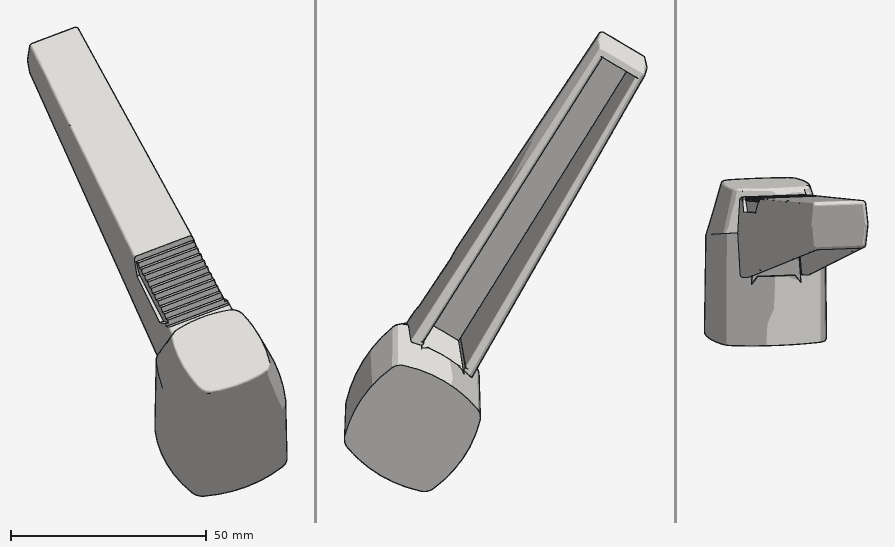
import math

import cadquery as cq

HUB_WIDTH = 30.68
SIDE_RADIUS = 33.4
CORNER_HALF_ANGLE = 25.6
LOWER_FLAT_HALF = 11.1
LOWER_DRAFT = 0.8
CROWN_HALF_X = 11.3
CROWN_HALF_Y = 10.85
CROWN_FLAT_HALF = 7.9
PARTING_TILT = 12.0
PARTING_HEIGHT = 26.5
CROWN_TILT = 4.0
CROWN_HEIGHT = 39.35
CROWN_FILLET = 0.8

OVERALL_LENGTH = 115.69
OVERALL_HEIGHT = 53.82
TIP_X = HUB_WIDTH / 2 - OVERALL_LENGTH
ARM_ROOT_X = -8.0
ARM_TOP_TILT = 10.0
ARM_BOTTOM_TILT = 15.5
TIP_ROUNDING_LOSS = 0.17
TIP_TOP_Z = OVERALL_HEIGHT + TIP_ROUNDING_LOSS
TIP_BOTTOM_Z = 41.75
ARM_TIP_HALF = (6.8, 7.5, 6.8)
ARM_ROOT_HALF = (9.4, 10.0, 8.8)
ARM_FILLET = 0.9

TIP_WALL = 2.0
CAVITY_TIP_X = TIP_X + TIP_WALL
CAVITY_HUB_X = -15.25
ROOF_THICKNESS = 2.1
CAVITY_DRAFT = 5.0
CAVITY_TIP_ROOF_HALF = 4.2
CAVITY_HUB_ROOF_HALF = 4.85
MOUTH_FILLET = 0.6
CAVITY_OVERCUT = 1.0
RELIEF_X = -14.3
RELIEF_FOOT_HALF = 6.46
RELIEF_FOOT_Z = 16.0
RELIEF_SILL_Z = 18.05

GROOVE_COUNT = 11
GROOVE_PITCH = 2.0
GROOVE_DEPTH = 1.0
FIRST_GROOVE_X = -33.6
GRIP_HALF_WIDTH = 8.0
GRIP_TOP_X = (-34.5, -14.0)
GRIP_FLOOR_X = (-31.6, -17.4)
GRIP_FLOOR_DEPTH = 3.8
CUT_MARGIN = 5.0


def slope(angle):
    return math.tan(math.radians(angle))


def parting_z(x):
    return PARTING_HEIGHT - x * slope(PARTING_TILT)


def crown_z(x):
    return CROWN_HEIGHT - x * slope(CROWN_TILT)


def arm_top_z(x):
    return TIP_TOP_Z - (x - TIP_X) * slope(ARM_TOP_TILT)


def arm_bottom_z(x):
    return TIP_BOTTOM_Z - (x - TIP_X) * slope(ARM_BOTTOM_TILT)


def base_z(x):
    return 0.0


def hub_wire(half_x, half_y, flat_half, height):
    """Four bulging sides and four corner arcs, laid on the plane z = height(x)."""
    sagitta = SIDE_RADIUS - math.sqrt(SIDE_RADIUS**2 - flat_half**2)
    end_x = half_x - sagitta
    end_y = half_y - sagitta
    corner_bulge = slope(CORNER_HALF_ANGLE / 2) / 2
    corner_x = (flat_half + end_x) / 2 + corner_bulge * (end_y - flat_half)
    corner_y = (flat_half + end_y) / 2 + corner_bulge * (end_x - flat_half)

    side_x = [(end_x, -flat_half), (half_x, 0), (end_x, flat_half)]
    corner_a = [(end_x, flat_half), (corner_x, corner_y), (flat_half, end_y)]
    side_y = [(flat_half, end_y), (0, half_y), (-flat_half, end_y)]
    corner_b = [(-flat_half, end_y), (-corner_x, corner_y), (-end_x, flat_half)]

    edges = []
    for turn in (1, -1):
        for arc in (side_x, corner_a, side_y, corner_b):
            points = [cq.Vector(turn * x, turn * y, height(turn * x)) for x, y in arc]
            edges.append(cq.Edge.makeThreePointArc(*points))
    return cq.Wire.assembleEdges(edges)


def make_hub():
    base_half = HUB_WIDTH / 2
    parting_half = base_half - PARTING_HEIGHT * slope(LOWER_DRAFT)
    base = hub_wire(base_half, base_half, LOWER_FLAT_HALF, base_z)
    parting = hub_wire(parting_half, parting_half, LOWER_FLAT_HALF, parting_z)
    crown = hub_wire(CROWN_HALF_X, CROWN_HALF_Y, CROWN_FLAT_HALF, crown_z)
    lower = cq.Workplane(cq.Solid.makeLoft([base, parting], True))
    upper = cq.Workplane(cq.Solid.makeLoft([parting, crown], True))
    upper = upper.faces(">Z").edges().fillet(CROWN_FILLET)
    return lower.union(upper)


def loft_along_x(start_x, start_points, end_x, end_points):
    """Ruled loft between two (y, z) outlines at the given X stations."""
    wires = []
    for x, points in ((start_x, start_points), (end_x, end_points)):
        wires.append(cq.Wire.makePolygon([cq.Vector(x, y, z) for y, z in points], close=True))
    return cq.Workplane(cq.Solid.makeLoft(wires, True))


def arm_outline(x, half_widths):
    heights = (arm_bottom_z(x), parting_z(x), arm_top_z(x))
    right_side = list(zip(half_widths, heights))
    left_side = [(-y, z) for y, z in reversed(right_side)]
    return right_side + left_side


def make_arm():
    tip = arm_outline(TIP_X, ARM_TIP_HALF)
    root = arm_outline(ARM_ROOT_X, ARM_ROOT_HALF)
    arm = loft_along_x(TIP_X, tip, ARM_ROOT_X, root)
    tip_edges = arm.faces("<X").edges()
    lengthwise = arm.edges("not(#X)")
    parting_edges = lengthwise.edges(">Y or <Y")
    long_edges = [edge for edge in lengthwise.vals() if edge not in parting_edges.vals()]
    return arm.newObject(tip_edges.vals() + long_edges).fillet(ARM_FILLET)


def cavity_outline(x, roof_half):
    roof = arm_top_z(x) - ROOF_THICKNESS
    mouth = arm_bottom_z(x) - CAVITY_OVERCUT
    mouth_half = roof_half + (roof - mouth) * slope(CAVITY_DRAFT)
    return [(mouth_half, mouth), (roof_half, roof), (-roof_half, roof), (-mouth_half, mouth)]


def hollow_out(arm):
    cavity = loft_along_x(
        CAVITY_TIP_X,
        cavity_outline(CAVITY_TIP_X, CAVITY_TIP_ROOF_HALF),
        CAVITY_HUB_X,
        cavity_outline(CAVITY_HUB_X, CAVITY_HUB_ROOF_HALF),
    )
    hollow_arm = arm.cut(cavity)
    mouths = [wire for face in hollow_arm.faces().vals() for wire in face.innerWires()]
    mouth_edges = [edge for mouth in mouths for edge in mouth.Edges()]
    long_edges = [edge for edge in mouth_edges if edge.Length() > OVERALL_LENGTH / 2]
    return hollow_arm.newObject(long_edges).fillet(MOUTH_FILLET)


def make_hub_relief():
    """Shallow continuation of the hollow into the hub, with a raised sill."""
    roof = arm_top_z(CAVITY_HUB_X) - ROOF_THICKNESS
    right_side = [
        (CAVITY_HUB_ROOF_HALF, RELIEF_SILL_Z),
        (RELIEF_FOOT_HALF, RELIEF_FOOT_Z),
        (CAVITY_HUB_ROOF_HALF, roof),
    ]
    outline = right_side + [(-y, z) for y, z in reversed(right_side)]
    return loft_along_x(CAVITY_HUB_X, outline, RELIEF_X, outline)


def make_grip_grooves():
    grooves = cq.Workplane("XY")
    step = GROOVE_PITCH * math.cos(math.radians(ARM_TOP_TILT))
    for index in range(GROOVE_COUNT):
        x = FIRST_GROOVE_X + index * step
        groove = (
            cq.Workplane("XZ")
            .polyline([(-GROOVE_DEPTH, 0), (0, -GROOVE_DEPTH), (GROOVE_DEPTH, 0)])
            .close()
            .extrude(ARM_ROOT_HALF[0], both=True)
            .rotate((0, 0, 0), (0, 1, 0), ARM_TOP_TILT)
            .translate((x, 0, arm_top_z(x)))
        )
        grooves = grooves.add(groove)
    return grooves.combine()


def make_grip_side_cuts():
    top_start, top_end = GRIP_TOP_X
    floor_start, floor_end = GRIP_FLOOR_X
    outline = [
        (top_start, arm_top_z(top_start)),
        (floor_start, arm_top_z(floor_start) - GRIP_FLOOR_DEPTH),
        (floor_end, arm_top_z(floor_end) - GRIP_FLOOR_DEPTH),
        (top_end, arm_top_z(top_end)),
    ]
    cut = (
        cq.Workplane("XZ", origin=(0, -GRIP_HALF_WIDTH, 0))
        .polyline(outline)
        .close()
        .extrude(CUT_MARGIN)
    )
    return cut.union(cut.mirror("XZ"))


arm = hollow_out(make_arm())
arm = arm.cut(make_grip_grooves()).cut(make_grip_side_cuts())
result = make_hub().union(arm).cut(make_hub_relief())